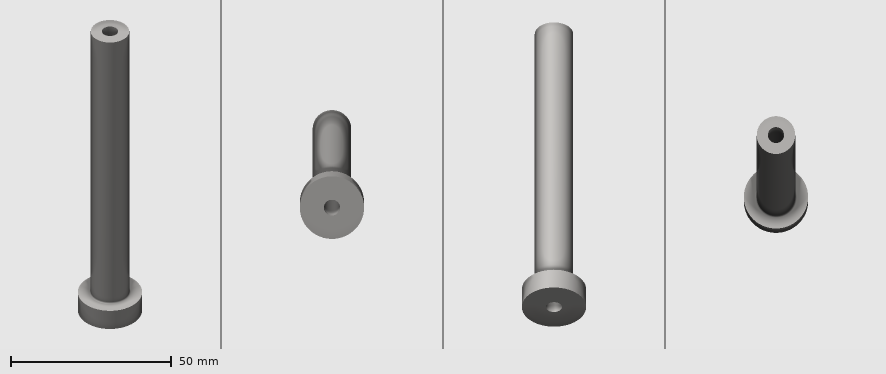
import cadquery as cq

total_length = 107.0
head_diameter = 20.0
head_height = 7.0
shank_diameter = 12.0
bore_diameter = 5.0
neck_fillet_radius = 0.5

head_radius = head_diameter / 2
shank_radius = shank_diameter / 2
bore_radius = bore_diameter / 2

half_section = (
    cq.Workplane("XZ")
    .moveTo(bore_radius, 0)
    .lineTo(head_radius, 0)
    .lineTo(head_radius, head_height)
    .lineTo(shank_radius + neck_fillet_radius, head_height)
    .radiusArc((shank_radius, head_height + neck_fillet_radius), neck_fillet_radius)
    .lineTo(shank_radius, total_length)
    .lineTo(bore_radius, total_length)
    .close()
)

result = half_section.revolve(360, (0, 0, 0), (0, 1, 0))